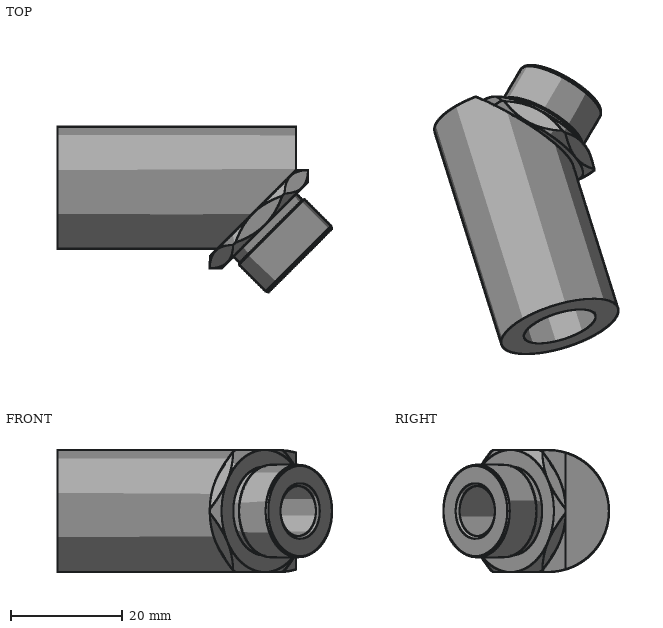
import cadquery as cq
import math

tube_diameter = 22.0
tube_length = 42.95
socket_diameter = 13.45
socket_depth = 14.95

bore_diameter = 9.0
elbow_x = 30.6
spigot_angle = math.radians(45)

hex_across_flats = tube_diameter
hex_thickness = 3.0
neck_diameter = 16.0
neck_length = 1.6
shoulder_length = 0.15
spigot_diameter = 16.65
spigot_length = 9.0
tip_chamfer_length = 0.45
tip_chamfer_depth = 0.2
mouth_chamfer = 0.5

axis_x = math.cos(spigot_angle)
axis_y = -math.sin(spigot_angle)
seat_radius = hex_across_flats / 2
seat_distance = (tube_length - elbow_x - seat_radius * math.sin(spigot_angle)) / axis_x
tip_distance = seat_distance + hex_thickness + spigot_length


def spigot_plane(distance):
    """Plane square to the spigot axis, at a distance from the elbow."""
    return cq.Plane(
        origin=(elbow_x + distance * axis_x, distance * axis_y, 0),
        xDir=(-axis_y, axis_x, 0),
        normal=(axis_x, axis_y, 0),
    )


def slanted_tube():
    """Solid tube body, trimmed off at the seat."""
    body = cq.Workplane("YZ").circle(tube_diameter / 2).extrude(tube_length)
    trim_size = 2 * tube_length
    square_plane = spigot_plane(seat_distance)
    beyond_seat = cq.Workplane(square_plane).rect(trim_size, trim_size).extrude(tube_length)
    return body.cut(beyond_seat)


def turned(distance, profile):
    """Solid turned about the spigot axis from (radius, axial) points, based at a distance from the elbow."""
    square_plane = spigot_plane(distance)
    profile_plane = cq.Plane(origin=square_plane.origin, xDir=square_plane.xDir, normal=-square_plane.yDir)
    return cq.Workplane(profile_plane).polyline(profile).close().revolve(360, (0, 0), (0, 1))


def hexagon_collar():
    """Hexagon with flats facing +Z and -Z, its corners coned at 45 degrees to a mid-thickness ridge."""
    hex_across_corners = hex_across_flats / math.cos(math.pi / 6)
    ridge_radius = seat_radius + hex_thickness / 2
    prism = cq.Workplane(spigot_plane(seat_distance)).polygon(6, hex_across_corners).extrude(hex_thickness)
    double_cone = turned(seat_distance, [
        (0, 0),
        (seat_radius, 0),
        (ridge_radius, hex_thickness / 2),
        (seat_radius, hex_thickness),
        (0, hex_thickness),
    ])
    return prism.intersect(double_cone)


def spigot():
    """Undercut neck, then a short cone up to the barrel, which ends in a chamfered tip."""
    neck_radius = neck_diameter / 2
    spigot_radius = spigot_diameter / 2
    return turned(seat_distance + hex_thickness, [
        (0, 0),
        (neck_radius, 0),
        (neck_radius, neck_length),
        (spigot_radius, neck_length + shoulder_length),
        (spigot_radius, spigot_length - tip_chamfer_length),
        (spigot_radius - tip_chamfer_depth, spigot_length),
        (0, spigot_length),
    ])


def passage():
    """Bore from the tube end to the spigot tip, mitred at the elbow."""
    path = cq.Workplane("XY").polyline([
        (0, 0),
        (elbow_x, 0),
        (elbow_x + tip_distance * axis_x, tip_distance * axis_y),
    ])
    return cq.Workplane("YZ").circle(bore_diameter / 2).sweep(path, transition="right")


def mouth_cone():
    """Chamfer that widens the bore at the spigot tip."""
    return (
        cq.Workplane(spigot_plane(tip_distance))
        .circle(bore_diameter / 2 + mouth_chamfer)
        .workplane(offset=-mouth_chamfer)
        .circle(bore_diameter / 2)
        .loft(ruled=True)
    )


socket = cq.Workplane("YZ").circle(socket_diameter / 2).extrude(socket_depth)

result = (
    slanted_tube()
    .union(hexagon_collar())
    .union(spigot())
    .cut(socket)
    .cut(passage())
    .cut(mouth_cone())
)